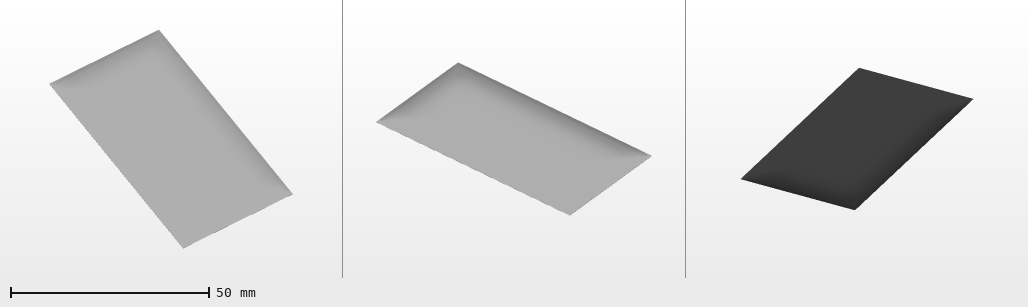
import cadquery as cq

length = 63.15
width = 32.85
thickness = 0.04

result = cq.Workplane("XY").box(length, width, thickness)